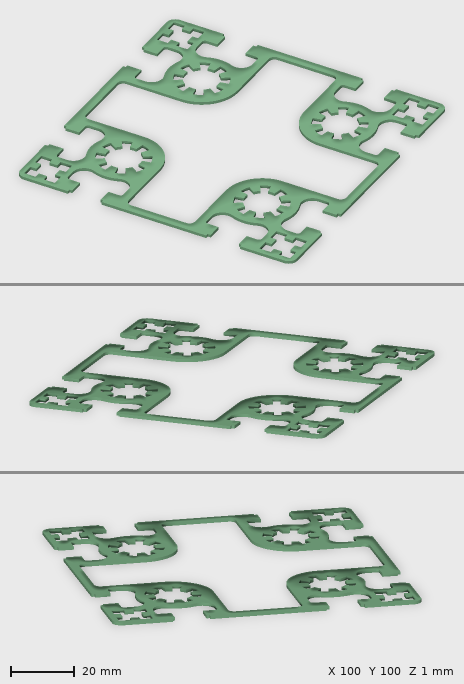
import cadquery as cq
import math

SIDE = 100.0
THICKNESS = 1.0
CORNER_RADIUS = 3.0
HALF = SIDE / 2

HUB_OFFSET = SIDE / 4
HUB_RADIUS = 12.0

SLOT_MOUTH = 10.2
SLOT_WIDTH = 20.0
LIP_DEPTH = 6.0
LIP_NOTCH = 1.0
SHOULDER_RADIUS = 1.0
SLOT_LOBE_RADIUS = 4.0

BORE_RADIUS = 9.0
TOOTH_TIP_RADIUS = 6.0
TOOTH_COUNT = 8

CHAMBER_SIDE = 11.0
CHAMBER_EDGE_DISTANCE = 2.0
TAB_WIDTH = 3.0
TAB_LENGTH = 2.1
CHAMBER_CENTRE = HALF - CHAMBER_EDGE_DISTANCE - CHAMBER_SIDE / 2

WINDOW_WALL = 3.0
WINDOW_ARM_WIDTH = 24.0
WINDOW_END_RADIUS = 2.0
WINDOW_INNER_RADIUS = HUB_OFFSET - WINDOW_ARM_WIDTH / 2


def prism(outline):
    """Extrude a closed outline through the full plate thickness."""
    return outline.extrude(THICKNESS)


def around_quarters(body):
    """Repeat a body of the +X +Y quarter in all four quarters."""
    copies = body
    for quarter in range(1, 4):
        copies = copies.union(body.rotate((0, 0, 0), (0, 0, 1), 90 * quarter))
    return copies


def plate():
    """Square blank with rounded corners."""
    blank = prism(cq.Workplane("XY").rect(SIDE, SIDE))
    return blank.edges("|Z").fillet(CORNER_RADIUS)


def window():
    """Cross with small radii at the arm ends and large ones around the hubs."""
    length = SIDE - 2 * WINDOW_WALL
    along_x = prism(cq.Workplane("XY").rect(length, WINDOW_ARM_WIDTH))
    along_y = prism(cq.Workplane("XY").rect(WINDOW_ARM_WIDTH, length))
    arms = along_x.edges("|Z").fillet(WINDOW_END_RADIUS)
    arms = arms.union(along_y.edges("|Z").fillet(WINDOW_END_RADIUS))
    middle = cq.selectors.BoxSelector(
        (-HUB_OFFSET, -HUB_OFFSET, 0), (HUB_OFFSET, HUB_OFFSET, THICKNESS)
    )
    return arms.edges("|Z").edges(middle).fillet(WINDOW_INNER_RADIUS)


def t_slot():
    """T-slot opening onto the +Y side, centred on the hub of the +X +Y quarter.

    The floor is the hub's own arc, blended tangentially into a round lobe on each side.
    """
    mouth = SLOT_MOUTH / 2
    shoulder = SLOT_WIDTH / 2
    shelf = HALF - HUB_OFFSET - LIP_DEPTH
    opening = HALF - HUB_OFFSET
    lobe_x = shoulder - SLOT_LOBE_RADIUS
    centre_distance = HUB_RADIUS + SLOT_LOBE_RADIUS
    lobe_y = math.sqrt(centre_distance**2 - lobe_x**2)
    blend_x = lobe_x * HUB_RADIUS / centre_distance
    blend_y = lobe_y * HUB_RADIUS / centre_distance
    lobe_bottom = lobe_y - SLOT_LOBE_RADIUS

    outline = (
        cq.Workplane("XY", origin=(HUB_OFFSET, HUB_OFFSET, 0))
        .moveTo(-mouth - LIP_NOTCH, opening)
        .lineTo(-mouth - LIP_NOTCH, opening - LIP_NOTCH)
        .lineTo(-mouth, opening - LIP_NOTCH)
        .lineTo(-mouth, shelf)
        .lineTo(-shoulder + SHOULDER_RADIUS, shelf)
        .radiusArc((-shoulder, shelf - SHOULDER_RADIUS), -SHOULDER_RADIUS)
        .lineTo(-shoulder, lobe_y)
        .threePointArc((-lobe_x, lobe_bottom), (-blend_x, blend_y))
        .threePointArc((0, HUB_RADIUS), (blend_x, blend_y))
        .threePointArc((lobe_x, lobe_bottom), (shoulder, lobe_y))
        .lineTo(shoulder, shelf - SHOULDER_RADIUS)
        .radiusArc((shoulder - SHOULDER_RADIUS, shelf), -SHOULDER_RADIUS)
        .lineTo(mouth, shelf)
        .lineTo(mouth, opening - LIP_NOTCH)
        .lineTo(mouth + LIP_NOTCH, opening - LIP_NOTCH)
        .lineTo(mouth + LIP_NOTCH, opening)
        .close()
    )
    return prism(outline)


def toothed_bore():
    """Round bore with radial-sided teeth as wide, in angle, as the gaps between them."""

    def polar(radius, angle):
        return radius * math.cos(angle), radius * math.sin(angle)

    pitch = 2 * math.pi / TOOTH_COUNT
    outline = cq.Workplane("XY", origin=(HUB_OFFSET, HUB_OFFSET, 0))
    outline = outline.moveTo(*polar(TOOTH_TIP_RADIUS, -pitch / 4))
    for tooth in range(TOOTH_COUNT):
        middle = tooth * pitch
        tooth_end = middle + pitch / 4
        gap_middle = middle + pitch / 2
        gap_end = middle + 3 * pitch / 4
        outline = outline.threePointArc(
            polar(TOOTH_TIP_RADIUS, middle), polar(TOOTH_TIP_RADIUS, tooth_end)
        )
        outline = outline.lineTo(*polar(BORE_RADIUS, tooth_end))
        outline = outline.threePointArc(polar(BORE_RADIUS, gap_middle), polar(BORE_RADIUS, gap_end))
        outline = outline.lineTo(*polar(TOOTH_TIP_RADIUS, gap_end))
    return prism(outline.close())


def corner_chamber():
    """Square hole near the plate corner, narrowed by one tab on each side."""

    def centred():
        return cq.Workplane("XY", origin=(CHAMBER_CENTRE, CHAMBER_CENTRE, 0))

    tab_offset = (CHAMBER_SIDE - TAB_LENGTH) / 2
    chamber = prism(centred().rect(CHAMBER_SIDE, CHAMBER_SIDE))
    side_places = [(-tab_offset, 0), (tab_offset, 0)]
    end_places = [(0, -tab_offset), (0, tab_offset)]
    side_tabs = prism(centred().pushPoints(side_places).rect(TAB_LENGTH, TAB_WIDTH))
    end_tabs = prism(centred().pushPoints(end_places).rect(TAB_WIDTH, TAB_LENGTH))
    return chamber.cut(side_tabs).cut(end_tabs)


slot = t_slot()
side_slot = slot.mirror("YZ").rotate((0, 0, 0), (0, 0, 1), -90)
quarter_cuts = [slot, side_slot, toothed_bore(), corner_chamber()]

result = plate().cut(window())
for cutter in quarter_cuts:
    result = result.cut(around_quarters(cutter))